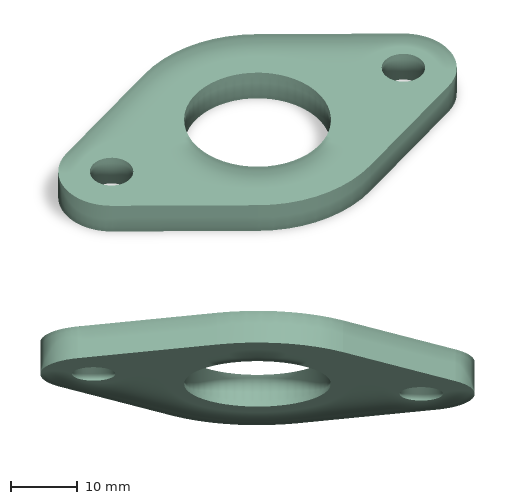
import cadquery as cq
import math

thickness = 5.0
body_radius = 20.0
ear_radius = 8.0
bolt_offset = 25.0
bore_diameter = 22.0
bolt_hole_diameter = 6.5

flank_angle = math.asin((body_radius - ear_radius) / bolt_offset)


def tangent_point(radius, centre_y):
    """Point in the +X, +Y quadrant where a flank touches an arc centred on the Y axis."""
    return (
        radius * math.cos(flank_angle),
        centre_y + radius * math.sin(flank_angle),
    )


def flange_plate():
    """Diamond-shaped plate: two body arcs and two ear arcs joined by tangent flanks."""
    body_x, body_y = tangent_point(body_radius, 0)
    ear_x, ear_y = tangent_point(ear_radius, bolt_offset)
    ear_tip = bolt_offset + ear_radius
    return (
        cq.Workplane("XY")
        .moveTo(body_x, -body_y)
        .threePointArc((body_radius, 0), (body_x, body_y))
        .lineTo(ear_x, ear_y)
        .threePointArc((0, ear_tip), (-ear_x, ear_y))
        .lineTo(-body_x, body_y)
        .threePointArc((-body_radius, 0), (-body_x, -body_y))
        .lineTo(-ear_x, -ear_y)
        .threePointArc((0, -ear_tip), (ear_x, -ear_y))
        .close()
        .extrude(thickness)
    )


def through_holes(diameter, centres):
    """Cylinders spanning the plate thickness, used to cut round holes."""
    return cq.Workplane("XY").pushPoints(centres).circle(diameter / 2).extrude(thickness)


bore = through_holes(bore_diameter, [(0, 0)])
bolt_holes = through_holes(bolt_hole_diameter, [(0, -bolt_offset), (0, bolt_offset)])

result = flange_plate().cut(bore).cut(bolt_holes)